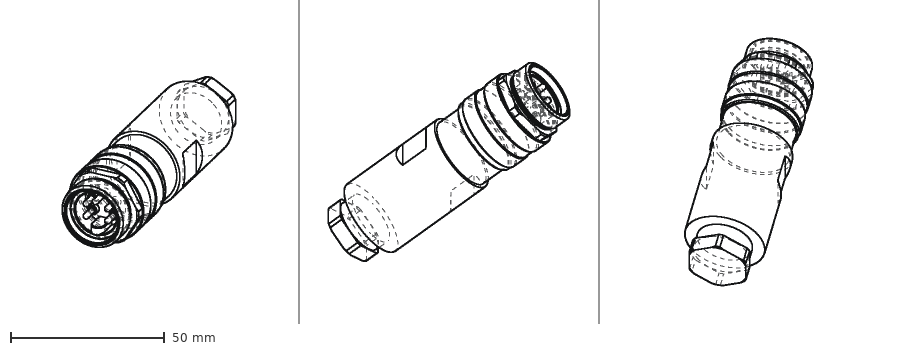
import cadquery as cq
import math

total_length = 86.8

nose_diameter = 22.19
nose_lip_diameter = 20.2
nose_front_bevel = 0.6
nose_rear_bevel = 0.6
nose_rear = 6.6
neck_diameter = 20.4
neck_groove_diameter = 20.0
neck_groove_end = 6.8
neck_flare_diameter = 21.0
neck_flare_start = 7.3

front_hex_start = 7.6
front_hex_across_flats = 24.0
front_hex_corner_diameter = 26.3
front_hex_bevel = 0.5

ring_diameter = 27.0
ring_groove_diameter = 26.3
front_ring_start = 10.6
front_ring_end = 16.2
front_ring_taper = 0.5
ring_bevel = 0.3
rear_ring_start = 20.1
rear_ring_end = 25.9
collar_end = 28.2
collar_bevel = 0.45
shank_diameter = 24.5

sleeve_diameter = 27.0
sleeve_start = 37.7
sleeve_end = 76.6
sleeve_bevel_length = 0.4
sleeve_bevel_depth = 0.1
wrench_across_flats = 24.0
wrench_flat_length = 10.0
wrench_flat_center = 47.6

gland_diameter = 18.6
rear_hex_start = 81.6
rear_hex_across_flats = 19.0
rear_hex_corner_diameter = 21.1
rear_hex_bevel_depth = 0.5
rear_hex_bevel_length = 0.3

mouth_diameter = 18.6
mouth_bevel = 0.25
mouth_inner_diameter = 18.1
ledge_bevel = 0.15
ledge_depth = 2.7
bore_rim_diameter = 15.5
bore_rim_depth = 0.4
bore_diameter = 14.9
bore_floor_diameter = 14.5
floor_depth = 10.0

pin_places = 6
pin_circle_radius = 4.5
pin_diameter = 2.0
pin_tip_depth = 3.0
top_pin_tip_depth = 1.7
pin_tip_rounding = 0.7
pin_collar_diameter = 3.3
pin_collar_depth = 8.0
pin_collar_bevel = 0.3

key_width = 4.7
key_top = -4.85
key_tip_depth = 2.5
key_tip_bevel = 0.3


def turned(points):
    """Revolve (radius, y) points about the Y axis."""
    return cq.Workplane("XY").polyline(points).close().revolve(360, (0, 0, 0), (0, 1, 0))


def rod(diameter, start, end, x=0, z=0):
    """Cylinder along Y between two stations."""
    section = cq.Workplane("XZ", origin=(x, start, z)).circle(diameter / 2)
    return section.extrude(start - end)


def hex_prism(across_flats, start, end, turn):
    """Hexagonal prism along Y; a turn of 0 leaves its flats facing up and down."""
    section = cq.Workplane("XZ", origin=(0, start, 0)).polygon(6, across_flats / math.cos(math.pi / 6))
    return section.extrude(start - end).rotate((0, 0, 0), (0, 1, 0), turn)


def make_turned_body():
    nose = nose_diameter / 2
    neck = neck_diameter / 2
    neck_groove = neck_groove_diameter / 2
    flare = neck_flare_diameter / 2
    ring = ring_diameter / 2
    groove = ring_groove_diameter / 2
    shank = shank_diameter / 2
    sleeve = sleeve_diameter / 2
    gland = gland_diameter / 2
    return turned([
        (0, 0),
        (nose_lip_diameter / 2, 0),
        (nose, nose_front_bevel),
        (nose, nose_rear - nose_rear_bevel),
        (nose - nose_rear_bevel, nose_rear),
        (neck_groove, nose_rear),
        (neck_groove, neck_groove_end),
        (neck, neck_groove_end),
        (neck, neck_flare_start),
        (flare, front_hex_start),
        (flare, front_ring_start),
        (ring - ring_bevel, front_ring_start),
        (ring, front_ring_start + ring_bevel),
        (ring, front_ring_end),
        (groove, front_ring_end + front_ring_taper),
        (groove, rear_ring_start),
        (ring, rear_ring_start + ring_bevel),
        (ring, rear_ring_end - ring_bevel),
        (groove, rear_ring_end),
        (groove, collar_end - collar_bevel),
        (groove - collar_bevel, collar_end),
        (shank, collar_end),
        (shank, sleeve_start),
        (sleeve - sleeve_bevel_depth, sleeve_start),
        (sleeve, sleeve_start + sleeve_bevel_length),
        (sleeve, sleeve_end - sleeve_bevel_length),
        (sleeve - sleeve_bevel_depth, sleeve_end),
        (gland, sleeve_end),
        (gland, total_length),
        (0, total_length),
    ])


def make_front_hex():
    corner = front_hex_corner_diameter / 2
    envelope = turned([
        (0, front_hex_start),
        (corner - front_hex_bevel, front_hex_start),
        (corner, front_hex_start + front_hex_bevel),
        (corner, front_ring_start),
        (0, front_ring_start),
    ])
    prism = hex_prism(front_hex_across_flats, front_hex_start, front_ring_start, 0)
    return prism.intersect(envelope)


def make_rear_hex():
    corner = rear_hex_corner_diameter / 2
    envelope = turned([
        (0, rear_hex_start),
        (corner, rear_hex_start),
        (corner, total_length - rear_hex_bevel_length),
        (corner - rear_hex_bevel_depth, total_length),
        (0, total_length),
    ])
    prism = hex_prism(rear_hex_across_flats, rear_hex_start, total_length, 30)
    return prism.intersect(envelope)


def make_wrench_cut(side):
    """Cutter for one wrench flat with 45 degree run-outs; side is -1 or 1 along X."""
    flat_x = wrench_across_flats / 2
    outer_x = sleeve_diameter / 2
    half_flat = wrench_flat_length / 2
    half_open = half_flat + outer_x - flat_x
    section = cq.Workplane("XY").polyline([
        (side * flat_x, wrench_flat_center - half_flat),
        (side * flat_x, wrench_flat_center + half_flat),
        (side * outer_x, wrench_flat_center + half_open),
        (side * outer_x, wrench_flat_center - half_open),
    ]).close()
    return section.extrude(sleeve_diameter / 2, both=True)


def make_socket():
    mouth = mouth_diameter / 2
    return turned([
        (0, 0),
        (mouth + mouth_bevel, 0),
        (mouth, mouth_bevel),
        (mouth_inner_diameter / 2, ledge_depth - ledge_bevel),
        (mouth_inner_diameter / 2 - ledge_bevel, ledge_depth),
        (bore_rim_diameter / 2, ledge_depth),
        (bore_diameter / 2, ledge_depth + bore_rim_depth),
        (bore_floor_diameter / 2, floor_depth),
        (0, floor_depth),
    ])


def make_pin(x, z, tip_depth):
    """Pin with a rounded tip, standing on a bevelled collar on the socket floor."""
    pin = rod(pin_diameter, tip_depth, floor_depth, x, z)
    pin = pin.faces("<Y").edges().fillet(pin_tip_rounding)
    collar = rod(pin_collar_diameter, pin_collar_depth, floor_depth, x, z)
    collar = collar.faces("<Y").edges().chamfer(pin_collar_bevel)
    return pin.union(collar)


def make_pins():
    """All the contact pins; the one opposite the key reaches further forward."""
    step = 2 * math.pi / pin_places
    key_angle = -math.pi / 2
    pins = cq.Workplane("XZ")
    for place in range(1, pin_places):
        angle = key_angle + place * step
        opposite_key = place == pin_places // 2
        tip_depth = top_pin_tip_depth if opposite_key else pin_tip_depth
        x = pin_circle_radius * math.cos(angle)
        z = pin_circle_radius * math.sin(angle)
        pins = pins.add(make_pin(x, z, tip_depth))
    return pins.combine()


def make_key():
    half_width = key_width / 2
    shoulder = key_tip_depth + half_width
    bottom = -mouth_diameter / 2
    block = (
        cq.Workplane("XY", origin=(0, 0, bottom))
        .moveTo(-half_width, floor_depth)
        .lineTo(-half_width, shoulder)
        .threePointArc((0, key_tip_depth), (half_width, shoulder))
        .lineTo(half_width, floor_depth)
        .close()
        .extrude(key_top - bottom)
    )
    tongue = block.faces(">Z").edges("%CIRCLE").chamfer(key_tip_bevel)
    return tongue.intersect(rod(bore_rim_diameter, 0, floor_depth))


result = make_turned_body().union(make_front_hex()).union(make_rear_hex())
for side in (-1, 1):
    result = result.cut(make_wrench_cut(side))
result = result.cut(make_socket()).union(make_key()).union(make_pins())